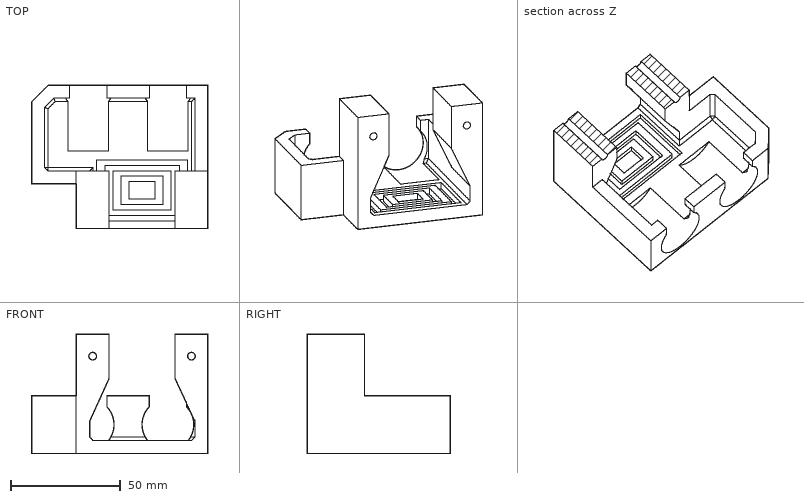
import cadquery as cq

LENGTH = 80.4
DEPTH = 65.4
HEIGHT = 54.4

TRAY_HEIGHT = 26.45
TRAY_FRONT = 20.35
TRAY_CORNER_CUT = 7.6
WALL = 5.95
FLOOR = 5.95
EDGE_CHAMFER = 1.5
CAVITY_CORNER_CUT = 4.2

TOWER_LEFT = 20.35
TOWER_WIDTH = 15.0
TOWER_DEPTH = 26.3
LEFT_TOWER_WALL = 6.2
THROAT_WIDE_TOP = 14.7
THROAT_NARROW_BOTTOM = 34.2
SCREW_DIAMETER = 3.4
SCREW_HEIGHT = 44.4

CRADLE_X = (25.8, 62.15)
CRADLE_Z = 13.2
CRADLE_RADIUS = 11.7
CRADLE_FRONT = 35.3
SLOT_WIDTH = 17.0

GROOVE_CENTER_Y = 17.4
GROOVE_DEPTH = 3.0
POCKET_SIZE = (11.8, 7.95)
RING_STEP = (7.4, 5.0)
RING_COUNT = 5

TOWER_CENTER_X = (TOWER_LEFT + LENGTH) / 2
CAVITY_BACK = DEPTH - WALL
CAVITY_RIGHT = LENGTH - WALL
CHANNEL_LEFT = TOWER_LEFT + LEFT_TOWER_WALL
OVERCUT = 8.0


def block(x0, x1, y0, y1, z0, z1):
    """Box between opposite corners."""
    return cq.Workplane("XY").box(x1 - x0, y1 - y0, z1 - z0, centered=False).translate((x0, y0, z0))


def body():
    """Tray with one cut corner, joined to the solid tower block."""
    tray = block(0, LENGTH, TRAY_FRONT, DEPTH, 0, TRAY_HEIGHT)
    tray = tray.edges("|Z and <X and >Y").chamfer(TRAY_CORNER_CUT)
    return tray.union(block(TOWER_LEFT, LENGTH, 0, TOWER_DEPTH, 0, HEIGHT))


def cavity():
    """Tray interior and the channel between the towers, chamfered along the floor."""
    outline = [
        (WALL, TOWER_DEPTH),
        (CHANNEL_LEFT, TOWER_DEPTH),
        (CHANNEL_LEFT, -OVERCUT),
        (CAVITY_RIGHT, -OVERCUT),
        (CAVITY_RIGHT, CAVITY_BACK),
        (WALL + CAVITY_CORNER_CUT, CAVITY_BACK),
        (WALL, CAVITY_BACK - CAVITY_CORNER_CUT),
    ]
    lower = cq.Workplane("XY").workplane(offset=FLOOR).polyline(outline).close()
    lower = lower.extrude(THROAT_WIDE_TOP - FLOOR)
    front_left_edge = cq.selectors.NearestToPointSelector((WALL, TOWER_DEPTH, (FLOOR + THROAT_WIDE_TOP) / 2))
    lower = lower.faces("<Z").edges().add(lower.edges(front_left_edge)).chamfer(EDGE_CHAMFER)
    upper = lower.faces(">Z").wires().toPending().workplane().extrude(HEIGHT, combine=False)
    return lower.union(upper.intersect(block(0, LENGTH, TOWER_DEPTH, DEPTH, 0, HEIGHT)))


def throat():
    """Opening between the towers, above the channel."""
    narrow_left = TOWER_LEFT + TOWER_WIDTH
    narrow_right = LENGTH - TOWER_WIDTH
    profile = [
        (CHANNEL_LEFT, THROAT_WIDE_TOP),
        (CAVITY_RIGHT, THROAT_WIDE_TOP),
        (narrow_right, THROAT_NARROW_BOTTOM),
        (narrow_right, HEIGHT),
        (narrow_left, HEIGHT),
        (narrow_left, THROAT_NARROW_BOTTOM),
    ]
    return cq.Workplane("XZ").polyline(profile).close().extrude(-TOWER_DEPTH)


def screw_holes():
    """One hole through the middle of each tower, front to back."""
    offset = TOWER_WIDTH / 2
    centers = [(TOWER_LEFT + offset, SCREW_HEIGHT), (LENGTH - offset, SCREW_HEIGHT)]
    return cq.Workplane("XZ").pushPoints(centers).circle(SCREW_DIAMETER / 2).extrude(-TOWER_DEPTH)


def cradle(x):
    """Cylindrical seat along Y, with a straight slot up through the back wall."""
    seat = cq.Workplane("XZ", origin=(x, CRADLE_FRONT, CRADLE_Z)).circle(CRADLE_RADIUS)
    seat = seat.extrude(CRADLE_FRONT - DEPTH)
    half_slot = SLOT_WIDTH / 2
    return seat.union(block(x - half_slot, x + half_slot, CAVITY_BACK, DEPTH, CRADLE_Z, TRAY_HEIGHT))


def floor_grooves():
    """Central pocket and alternating grooves around it."""
    def rectangle(index):
        width = POCKET_SIZE[0] + index * RING_STEP[0]
        depth = POCKET_SIZE[1] + index * RING_STEP[1]
        plane = cq.Workplane("XY", origin=(TOWER_CENTER_X, GROOVE_CENTER_Y, FLOOR))
        return plane.rect(width, depth).extrude(-GROOVE_DEPTH)

    grooves = rectangle(0)
    for index in range(2, RING_COUNT, 2):
        grooves = grooves.union(rectangle(index).cut(rectangle(index - 1)))
    return grooves


result = body().cut(cavity()).cut(throat()).cut(screw_holes()).cut(floor_grooves())
for cradle_x in CRADLE_X:
    result = result.cut(cradle(cradle_x))